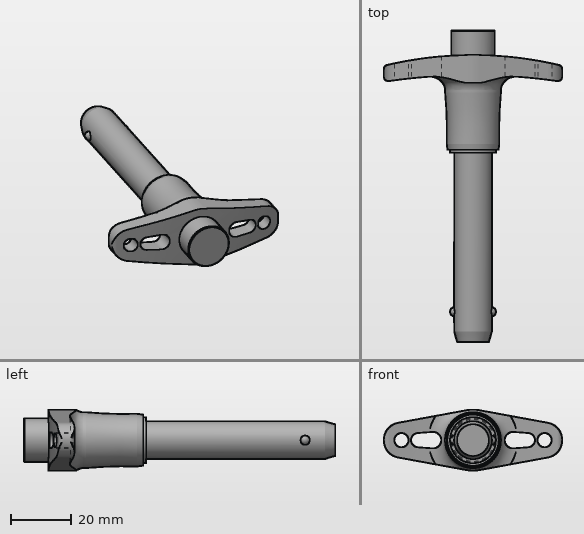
import cadquery as cq
import math


total_length = 103.1
button_length = 8.1
tip_y = button_length - total_length

button_diameter = 14.5
button_radius = button_diameter / 2
button_chamfer = 0.3

handle_length = 59.1
handle_width = 20.3
wing_end_radius = 5.9
wing_end_x = handle_length / 2 - wing_end_radius
crown_radius = 123.7
underside_radius = 195.9
handle_thickness = 6.7
wing_edge_fillet = 1.5

hole_diameter = 4.6
hole_radius = hole_diameter / 2
slot_outer_x = 18.1
slot_inner_x = 13.2
slot_inner_radius = 2.7

flare_reach = 5.5
flare_height = 4.3
barrel_top_radius = 9.3
barrel_waist_radius = 8.8
barrel_end_radius = 8.8
barrel_top_y = -11.5
collar_length = 0.9
barrel_end_y = -29.4
taper_end_y = -31.5
taper_end_radius = 8.5
step_end_y = -32.4
step_radius = 7.6

pin_radius = 6.3
tip_radius = 5.3
tip_cone_length = 3.5
ball_radius = 1.5
ball_center_x = 6.1
ball_y = tip_y + 10.0

tool_depth = 61.9


def along_axis(sketch):
    """Extrude an XZ outline evenly to both sides of Y = 0."""
    return sketch.extrude(tool_depth / 2, both=True)


def tapered_capsule(x_a, radius_a, x_b, radius_b):
    """Solid whose XZ outline wraps two circles (x_a < x_b) with their common tangents."""
    sine = (radius_a - radius_b) / (x_b - x_a)
    cosine = math.sqrt(1 - sine**2)
    sketch = (
        cq.Workplane("XZ")
        .moveTo(x_a + radius_a * sine, radius_a * cosine)
        .lineTo(x_b + radius_b * sine, radius_b * cosine)
        .threePointArc((x_b + radius_b, 0), (x_b + radius_b * sine, -radius_b * cosine))
        .lineTo(x_a + radius_a * sine, -radius_a * cosine)
        .threePointArc((x_a - radius_a, 0), (x_a + radius_a * sine, radius_a * cosine))
        .close()
    )
    return along_axis(sketch)


def mirrored_pair(solid):
    """The solid together with its mirror image across the YZ plane."""
    return solid.union(solid.mirror("YZ"))


def arc_drop(radius, x):
    """Fall of a circular arc from its crown at distance x."""
    return radius - math.sqrt(radius**2 - x**2)


def wing_bar():
    """Bowed bar with rounded ends, constant across Z."""
    half_length = handle_length / 2
    top_end_y = -arc_drop(crown_radius, half_length)
    bottom_end_y = -handle_thickness - arc_drop(underside_radius, half_length)
    return (
        cq.Workplane("XY")
        .moveTo(-half_length, top_end_y)
        .threePointArc((0, 0), (half_length, top_end_y))
        .lineTo(half_length, bottom_end_y)
        .threePointArc((0, -handle_thickness), (-half_length, bottom_end_y))
        .close()
        .extrude(handle_width, both=True)
        .edges("|Z")
        .fillet(wing_edge_fillet)
    )


def hub_flare():
    """Concave elliptical flare of revolution joining the wings to the barrel."""
    rim_radius = barrel_top_radius + flare_reach
    return (
        cq.Workplane("XY")
        .moveTo(0, -handle_thickness)
        .lineTo(rim_radius, -handle_thickness)
        .lineTo(rim_radius, barrel_top_y + flare_height)
        .ellipseArc(flare_reach, flare_height, 90, 180, startAtCurrent=True)
        .lineTo(0, barrel_top_y)
        .close()
        .revolve(360, (0, 0), (0, 1))
    )


def handle():
    """Wings and flare trimmed to the plan outline, with a hole and a slot in each wing."""
    half_outline = tapered_capsule(0, handle_width / 2, wing_end_x, wing_end_radius)
    body = wing_bar().union(hub_flare()).intersect(mirrored_pair(half_outline))
    hole = along_axis(cq.Workplane("XZ").center(wing_end_x, 0).circle(hole_radius))
    slot = tapered_capsule(slot_inner_x, slot_inner_radius, slot_outer_x, hole_radius)
    return body.cut(mirrored_pair(hole)).cut(mirrored_pair(slot))


def shaft():
    """Button, waisted barrel, end step and pin as one body of revolution."""
    waist_start_y = barrel_top_y - collar_length
    waist_y = (waist_start_y + barrel_end_y) / 2
    return (
        cq.Workplane("XY")
        .moveTo(0, button_length)
        .lineTo(button_radius - button_chamfer, button_length)
        .lineTo(button_radius, button_length - button_chamfer)
        .lineTo(button_radius, barrel_top_y)
        .lineTo(barrel_top_radius, barrel_top_y)
        .lineTo(barrel_top_radius, waist_start_y)
        .threePointArc((barrel_waist_radius, waist_y), (barrel_end_radius, barrel_end_y))
        .lineTo(taper_end_radius, taper_end_y)
        .lineTo(step_radius, taper_end_y)
        .lineTo(step_radius, step_end_y)
        .lineTo(pin_radius, step_end_y)
        .lineTo(pin_radius, tip_y + tip_cone_length)
        .lineTo(tip_radius, tip_y)
        .lineTo(0, tip_y)
        .close()
        .revolve(360, (0, 0), (0, 1))
    )


def locking_balls():
    ball = cq.Workplane("XY").sphere(ball_radius).translate((ball_center_x, ball_y, 0))
    return mirrored_pair(ball)


result = handle().union(shaft()).union(locking_balls())